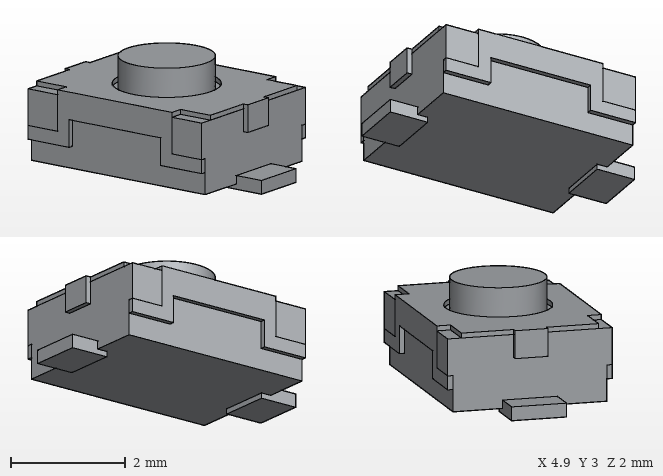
import cadquery as cq

overall_length = 4.9
body_length = 3.8
body_width = 3.0
body_top = 1.5
standoff = 0.1

plate_thickness = 0.09
skirt_thickness = 0.1
skirt_bottom = 0.5
skirt_arch_width = 2.0
skirt_arch_top = 1.0
tab_width = 0.6
tab_projection = 0.1
tab_bottom = 1.0
opening_diameter = 1.9

corner_length = 0.65
corner_depth = 0.25
corner_bottom = 0.75

button_diameter = 1.7
button_top = 2.0

terminal_length = 0.75
terminal_width = 1.0
terminal_thickness = 0.25

plate_bottom = body_top - plate_thickness
core_width = body_width - 2 * skirt_thickness
corner_x = (body_length - corner_length) / 2
corner_y = (body_width - corner_depth) / 2
terminal_x = (overall_length - terminal_length) / 2
SIDES = (-1, 1)


def block(length, width, bottom, top, x=0, y=0):
    """Box centred on (x, y) that spans the heights bottom to top."""
    base = cq.Workplane("XY", origin=(x, y, bottom))
    return base.rect(length, width).extrude(top - bottom)


def make_terminal(side):
    """Flat terminal, partly sunk into the underside of the housing."""
    return block(terminal_length, terminal_width, 0, terminal_thickness, x=side * terminal_x)


def make_housing():
    """Core with four corner blocks and a recess for each terminal."""
    housing = block(body_length, core_width, standoff, plate_bottom)
    for side_x in SIDES:
        for side_y in SIDES:
            corner = block(corner_length, corner_depth, corner_bottom, plate_bottom,
                           side_x * corner_x, side_y * corner_y)
            housing = housing.union(corner)
        housing = housing.cut(make_terminal(side_x))
    return housing


def make_skirt(side):
    """Side wall of the cover, arched up in the middle."""
    wall_y = side * (body_width - skirt_thickness) / 2
    wall = block(body_length, skirt_thickness, skirt_bottom, body_top, y=wall_y)
    arch = block(skirt_arch_width, skirt_thickness, skirt_bottom, skirt_arch_top, y=wall_y)
    return wall.cut(arch)


def make_cover():
    """Top plate with side skirts, end tabs, corner notches and button opening."""
    cover = block(body_length, body_width, plate_bottom, body_top)
    for side in SIDES:
        tab_x = side * (body_length + tab_projection) / 2
        tab = block(tab_projection, tab_width, tab_bottom, body_top, x=tab_x)
        cover = cover.union(make_skirt(side)).union(tab)
    for side_x in SIDES:
        for side_y in SIDES:
            notch = block(corner_length, corner_depth, corner_bottom, body_top,
                          side_x * corner_x, side_y * corner_y)
            cover = cover.cut(notch)
    return cover.faces(">Z").workplane(origin=(0, 0, body_top)).hole(opening_diameter, plate_thickness)


def make_button():
    """Round button that stands on the housing, clear of the cover opening."""
    base = cq.Workplane("XY", origin=(0, 0, plate_bottom))
    return base.circle(button_diameter / 2).extrude(button_top - plate_bottom)


housing = make_housing()
cover = make_cover()
button = make_button()
terminals = [make_terminal(side) for side in SIDES]

result = cq.Compound.makeCompound([
    housing.solids().val(),
    cover.solids().val(),
    button.solids().val(),
    *[terminal.val() for terminal in terminals],
])